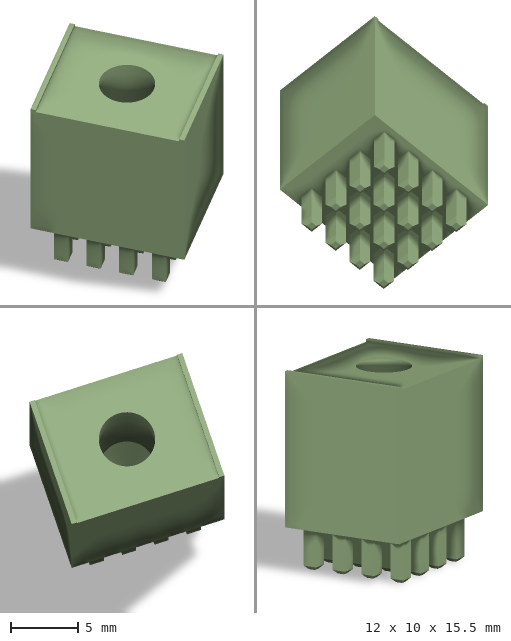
import cadquery as cq
import math

body_width = 12.0
body_depth = 10.0
total_height = 15.5
pin_length = 3.5
body_height = total_height - pin_length

rail_width = 0.4
rail_height = 0.2
top_face_z = body_height - rail_height

hole_diameter = 4.2
hole_depth = 8.0
drill_tip_angle = 118.0

pins_per_side = 4
pin_pitch = 2.54
pin_size = 1.1
pin_tip_chamfer = 0.3


def make_body():
    """Block with its top face lowered between the two edge rails."""
    block = cq.Workplane("XY").box(body_width, body_depth, body_height, centered=(True, True, False))
    recess = (
        cq.Workplane("XY")
        .workplane(offset=top_face_z)
        .rect(body_width - 2 * rail_width, body_depth)
        .extrude(rail_height)
    )
    return block.cut(recess)


def make_drilled_hole():
    """Cylinder ending in a cone, revolved about the Z axis."""
    radius = hole_diameter / 2
    tip_height = radius / math.tan(math.radians(drill_tip_angle / 2))
    shoulder_z = top_face_z - hole_depth
    return (
        cq.Workplane("XZ")
        .moveTo(0, top_face_z)
        .lineTo(radius, top_face_z)
        .lineTo(radius, shoulder_z)
        .lineTo(0, shoulder_z - tip_height)
        .close()
        .revolve(360, (0, 0, 0), (0, 1, 0))
    )


def make_pins():
    """Grid of square pins hanging below the body, with chamfered tips."""
    return (
        cq.Workplane("XY")
        .rarray(pin_pitch, pin_pitch, pins_per_side, pins_per_side)
        .rect(pin_size, pin_size)
        .extrude(-pin_length)
        .faces("<Z")
        .chamfer(pin_tip_chamfer)
    )


result = make_body().cut(make_drilled_hole()).union(make_pins())